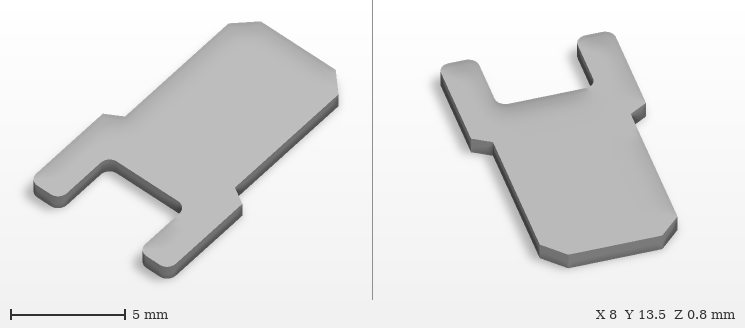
import cadquery as cq

thickness = 0.8
total_length = 13.5
base_width = 8.0
blade_width = 6.3
tip_chamfer = 1.0
shoulder_start = 5.0
shoulder_end = 5.5
leg_width = 1.75
slot_depth = 3.3
corner_radius = 0.5

half_base = base_width / 2
half_blade = blade_width / 2
half_tip = half_blade - tip_chamfer
slot_width = base_width - 2 * leg_width
leg_end_y = -total_length / 2
tip_y = total_length / 2


def make_blank():
    """Flat tab with a chamfered tip and sloping shoulders down to the wider base."""
    right_side = [
        (half_base, leg_end_y),
        (half_base, leg_end_y + shoulder_start),
        (half_blade, leg_end_y + shoulder_end),
        (half_blade, tip_y - tip_chamfer),
        (half_tip, tip_y),
    ]
    left_side = [(-x, y) for x, y in reversed(right_side)]
    outline = cq.Workplane("XY").polyline(right_side + left_side).close()
    return outline.extrude(thickness / 2, both=True)


def make_slot():
    """Block that separates the two legs."""
    slot_center_y = leg_end_y + slot_depth / 2
    return cq.Workplane("XY").center(0, slot_center_y).box(slot_width, slot_depth, thickness)


def round_leg_corners(tab):
    """Round the vertical edges at the leg ends and at the closed end of the slot."""
    slot_end_y = leg_end_y + slot_depth
    corners = cq.selectors.BoxSelector(
        (-base_width, leg_end_y - corner_radius, -thickness),
        (base_width, slot_end_y + corner_radius, thickness),
    )
    return tab.edges("|Z").edges(corners).fillet(corner_radius)


result = round_leg_corners(make_blank().cut(make_slot()))